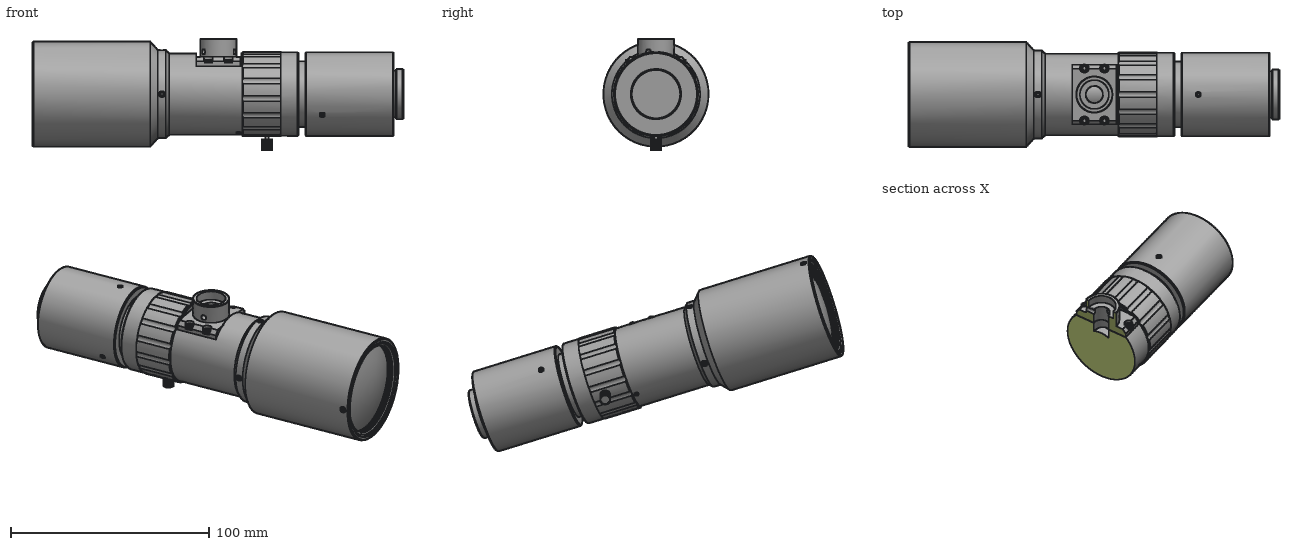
import cadquery as cq
import math


TUBE_LENGTH = 187.0
HOOD_END = 59.3
COLLAR_START = 63.2
COLLAR_BEVEL_START = 67.1
COLLAR_BEVEL_LENGTH = 1.0
COLLAR_END = 69.0
RING_START = 105.6
RING_END = 125.0
REAR_NECK_START = 134.0
REAR_NECK_END = 137.4
REAR_BARREL_END = 182.0
MOUNT_START = 183.0

HOOD_RADIUS = 26.5
COLLAR_RADIUS = 22.2
BARREL_RADIUS = 20.5
RING_RADIUS = 21.3
REAR_RADIUS = 21.1
REAR_NECK_RADIUS = 16.6
MOUNT_RADIUS = 12.7
MOUNT_NECK_RADIUS = 11.8
EDGE_CHAMFER = 0.5

RIM_BORE_RADIUS = 24.7
RIM_BORE_DEPTH = 1.0
LEAD_IN_RADIUS = 23.7
LEAD_IN_DEPTH = 1.5
THREAD_RADIUS = 23.0
THREAD_PITCH = 0.7
THREAD_TURNS = 4
LENS_EDGE_DEPTH = LEAD_IN_DEPTH + THREAD_TURNS * THREAD_PITCH
LENS_RADIUS = 22.5
LENS_BULGE = 3.7

GROOVE_COUNT = 15
GROOVE_WIDTH = 3.0
GROOVE_DEPTH = 0.5

SET_HOLE_DEPTH = 0.7
SET_SOCKET_DEPTH = 1.9
SET_SOCKET_RATIO = 0.5
HOOD_HOLE_RADIUS = 1.5
HOOD_HOLE_X = 3.2
HOOD_HOLE_ANGLE = 180
COLLAR_HOLE_RADIUS = 1.5
COLLAR_HOLE_X = 65.2
COLLAR_HOLE_ANGLES = (0, 90, 180, 270)
REAR_HOLE_RADIUS = 1.3
REAR_HOLE_X = 146.0
REAR_HOLE_ANGLES = (90, 210, 330)
BARREL_HOLE_RADIUS = 1.1
BARREL_HOLE_X = 103.8
BARREL_HOLE_ANGLE = 288

PORT_X = 93.7
FLANGE_LENGTH = 22.0
FLANGE_WIDTH = 30.0
FLANGE_REAR_GAP = 0.4
FLANGE_BOTTOM = math.sqrt(BARREL_RADIUS**2 - (FLANGE_WIDTH / 2) ** 2)
FLANGE_TOP = 18.7
FLANGE_CHAMFER_WIDTH = 1.9
FLANGE_CHAMFER_HEIGHT = 2.2
SOCKET_TOP = 27.9
SOCKET_RADIUS = 9.2
SOCKET_CHAMFER = 0.2
SOCKET_BORE_RADIUS = 7.3
SOCKET_BORE_DEPTH = 4.7
LIGHT_HOLE_RADIUS = 4.3
LIGHT_FLOOR_RADIUS = 9.3
SOCKET_HOLE_RADIUS = 1.3
SOCKET_HOLE_Z = 21.3
SOCKET_HOLE_ANGLES = (95, 215, 335)

SCREW_SPACING_X = 10.1
SCREW_SPACING_Y = 26.5
SCREW_HEAD_RADIUS = 1.9
SCREW_HEAD_BOTTOM = 15.7
SCREW_HEAD_TOP = 17.4
SCREW_SHANK_RADIUS = 1.0
SCREW_SHANK_BOTTOM = 10.3
SCREW_SOCKET_WIDTH = 2.2
SCREW_SOCKET_DEPTH = 1.1
SCREW_KNURL_COUNT = 16
SCREW_KNURL_RADIUS = 0.2
COUNTERBORE_RADIUS = 2.2

THUMB_X = 118.1
THUMB_STEM_RADIUS = 1.0
THUMB_STEM_TOP = -17.8
THUMB_HEAD_RADIUS = 2.6
THUMB_HEAD_TOP = -22.8
THUMB_HEAD_BOTTOM = -28.2
THUMB_KNURL_COUNT = 20
THUMB_KNURL_RADIUS = 0.22


def upright_cylinder(x, y, radius, bottom, top):
    return cq.Workplane("XY", origin=(x, y, bottom)).circle(radius).extrude(top - bottom)


def radial_hole(x, radius, angle, surface_radius):
    """Stepped cutter that sinks into the tube; the angle runs from -Y through +Z."""
    top = surface_radius + SET_HOLE_DEPTH
    shelf = surface_radius - SET_HOLE_DEPTH
    cutter = upright_cylinder(x, 0, radius, shelf, top)
    floor = surface_radius - SET_SOCKET_DEPTH
    cutter = cutter.union(upright_cylinder(x, 0, radius * SET_SOCKET_RATIO, floor, top))
    return cutter.rotate((0, 0, 0), (1, 0, 0), 90 - angle)


def tube_blank():
    """Turned tube with the lens face, threaded front opening and rear mount."""
    sphere_radius = (LENS_RADIUS**2 + LENS_BULGE**2) / (2 * LENS_BULGE)
    half_radius = LENS_RADIUS / 2
    half_sag = sphere_radius - math.sqrt(sphere_radius**2 - half_radius**2)
    lens_apex = LENS_EDGE_DEPTH - LENS_BULGE
    profile = (
        cq.Workplane("XY")
        .moveTo(lens_apex, 0)
        .threePointArc((lens_apex + half_sag, half_radius), (LENS_EDGE_DEPTH, LENS_RADIUS))
    )
    for turn in range(THREAD_TURNS):
        crest = LENS_EDGE_DEPTH - (turn + 1) * THREAD_PITCH
        profile = profile.lineTo(crest + THREAD_PITCH / 2, THREAD_RADIUS)
        profile = profile.lineTo(crest, LENS_RADIUS)
    profile = (
        profile.lineTo(RIM_BORE_DEPTH, LEAD_IN_RADIUS)
        .lineTo(RIM_BORE_DEPTH, RIM_BORE_RADIUS)
        .lineTo(0, RIM_BORE_RADIUS)
        .lineTo(0, HOOD_RADIUS - EDGE_CHAMFER)
        .lineTo(EDGE_CHAMFER, HOOD_RADIUS)
        .lineTo(HOOD_END, HOOD_RADIUS)
        .lineTo(COLLAR_START, COLLAR_RADIUS)
        .lineTo(COLLAR_BEVEL_START, COLLAR_RADIUS)
        .lineTo(COLLAR_BEVEL_START + COLLAR_BEVEL_LENGTH, COLLAR_RADIUS - COLLAR_BEVEL_LENGTH)
        .lineTo(COLLAR_END, BARREL_RADIUS)
        .lineTo(RING_START, BARREL_RADIUS)
        .lineTo(RING_START, RING_RADIUS - EDGE_CHAMFER)
        .lineTo(RING_START + EDGE_CHAMFER, RING_RADIUS)
        .lineTo(RING_END, RING_RADIUS)
        .lineTo(RING_END, REAR_RADIUS)
        .lineTo(REAR_NECK_START - EDGE_CHAMFER, REAR_RADIUS)
        .lineTo(REAR_NECK_START, REAR_RADIUS - EDGE_CHAMFER)
        .lineTo(REAR_NECK_START, REAR_NECK_RADIUS)
        .lineTo(REAR_NECK_END, REAR_NECK_RADIUS)
        .lineTo(REAR_NECK_END, REAR_RADIUS - EDGE_CHAMFER)
        .lineTo(REAR_NECK_END + EDGE_CHAMFER, REAR_RADIUS)
        .lineTo(REAR_BARREL_END - EDGE_CHAMFER, REAR_RADIUS)
        .lineTo(REAR_BARREL_END, REAR_RADIUS - EDGE_CHAMFER)
        .lineTo(REAR_BARREL_END, MOUNT_NECK_RADIUS)
        .lineTo(MOUNT_START, MOUNT_NECK_RADIUS)
        .lineTo(MOUNT_START, MOUNT_RADIUS - EDGE_CHAMFER)
        .lineTo(MOUNT_START + EDGE_CHAMFER, MOUNT_RADIUS)
        .lineTo(TUBE_LENGTH - EDGE_CHAMFER, MOUNT_RADIUS)
        .lineTo(TUBE_LENGTH, MOUNT_RADIUS - EDGE_CHAMFER)
        .lineTo(TUBE_LENGTH, 0)
        .close()
    )
    return profile.revolve(360, (0, 0, 0), (1, 0, 0))


def cut_grip_grooves(tube):
    """Shallow round grooves along the focus ring, the first one at the top."""
    half_width = GROOVE_WIDTH / 2
    cutter_radius = (half_width**2 + GROOVE_DEPTH**2) / (2 * GROOVE_DEPTH)
    cutter = (
        cq.Workplane("YZ", origin=(RING_START, 0, RING_RADIUS - GROOVE_DEPTH + cutter_radius))
        .circle(cutter_radius)
        .extrude(RING_END - RING_START)
    )
    for index in range(GROOVE_COUNT):
        tube = tube.cut(cutter.rotate((0, 0, 0), (1, 0, 0), index * 360 / GROOVE_COUNT))
    return tube


def cut_set_holes(tube):
    tube = tube.cut(radial_hole(HOOD_HOLE_X, HOOD_HOLE_RADIUS, HOOD_HOLE_ANGLE, HOOD_RADIUS))
    for angle in COLLAR_HOLE_ANGLES:
        tube = tube.cut(radial_hole(COLLAR_HOLE_X, COLLAR_HOLE_RADIUS, angle, COLLAR_RADIUS))
    for angle in REAR_HOLE_ANGLES:
        tube = tube.cut(radial_hole(REAR_HOLE_X, REAR_HOLE_RADIUS, angle, REAR_RADIUS))
    return tube.cut(radial_hole(BARREL_HOLE_X, BARREL_HOLE_RADIUS, BARREL_HOLE_ANGLE, BARREL_RADIUS))


def screw_places():
    places = []
    for side_x in (-1, 1):
        for side_y in (-1, 1):
            places.append((PORT_X + side_x * SCREW_SPACING_X / 2, side_y * SCREW_SPACING_Y / 2))
    return places


def make_lens_tube():
    tube = cut_set_holes(cut_grip_grooves(tube_blank()))
    flange_seat = cq.Workplane("XY", origin=(PORT_X - FLANGE_LENGTH / 2, 0, FLANGE_BOTTOM)).box(
        FLANGE_LENGTH + FLANGE_REAR_GAP,
        2 * BARREL_RADIUS,
        BARREL_RADIUS,
        centered=(False, True, False),
    )
    tube = tube.cut(flange_seat)
    light_hole = upright_cylinder(PORT_X, 0, LIGHT_HOLE_RADIUS, 0, FLANGE_BOTTOM)
    floor = cq.Workplane("YZ").circle(LIGHT_FLOOR_RADIUS).extrude(TUBE_LENGTH)
    tube = tube.cut(light_hole.cut(floor))
    for x, y in screw_places():
        tube = tube.cut(upright_cylinder(x, y, SCREW_SHANK_RADIUS, SCREW_SHANK_BOTTOM, FLANGE_BOTTOM))
    return tube.cut(upright_cylinder(THUMB_X, 0, THUMB_STEM_RADIUS, -RING_RADIUS, THUMB_STEM_TOP))


def make_light_port():
    """Bevelled flange with a stepped socket on top, bored through."""
    half_width = FLANGE_WIDTH / 2
    bevel_bottom = FLANGE_TOP - FLANGE_CHAMFER_HEIGHT
    port = (
        cq.Workplane("YZ", origin=(PORT_X - FLANGE_LENGTH / 2, 0, 0))
        .moveTo(-half_width, FLANGE_BOTTOM)
        .lineTo(half_width, FLANGE_BOTTOM)
        .lineTo(half_width, bevel_bottom)
        .lineTo(half_width - FLANGE_CHAMFER_WIDTH, FLANGE_TOP)
        .lineTo(FLANGE_CHAMFER_WIDTH - half_width, FLANGE_TOP)
        .lineTo(-half_width, bevel_bottom)
        .close()
        .extrude(FLANGE_LENGTH)
    )
    socket = upright_cylinder(PORT_X, 0, SOCKET_RADIUS, FLANGE_BOTTOM, SOCKET_TOP)
    port = port.union(socket.faces(">Z").chamfer(SOCKET_CHAMFER))
    bore_floor = SOCKET_TOP - SOCKET_BORE_DEPTH
    port = port.cut(upright_cylinder(PORT_X, 0, SOCKET_BORE_RADIUS, bore_floor, SOCKET_TOP))
    port = port.cut(upright_cylinder(PORT_X, 0, LIGHT_HOLE_RADIUS, FLANGE_BOTTOM, SOCKET_TOP))
    for x, y in screw_places():
        port = port.cut(upright_cylinder(x, y, COUNTERBORE_RADIUS, SCREW_HEAD_BOTTOM, FLANGE_TOP))
        port = port.cut(upright_cylinder(x, y, SCREW_SHANK_RADIUS, FLANGE_BOTTOM, SCREW_HEAD_BOTTOM))
    for angle in SOCKET_HOLE_ANGLES:
        hole = (
            cq.Workplane("YZ", origin=(PORT_X, 0, SOCKET_HOLE_Z))
            .circle(SOCKET_HOLE_RADIUS)
            .extrude(SOCKET_RADIUS)
            .rotate((PORT_X, 0, 0), (PORT_X, 0, 1), angle)
        )
        port = port.cut(hole)
    return port


def knurled_head(x, y, radius, bottom, top, knurl_count, knurl_radius):
    """Screw head with small round grooves along its side."""
    knurls = (
        cq.Workplane("XY", origin=(x, y, bottom))
        .polarArray(radius, 0, 360, knurl_count)
        .circle(knurl_radius)
        .extrude(top - bottom)
    )
    return upright_cylinder(x, y, radius, bottom, top).cut(knurls)


def make_flange_screw(x, y):
    head = knurled_head(
        x, y, SCREW_HEAD_RADIUS, SCREW_HEAD_BOTTOM, SCREW_HEAD_TOP, SCREW_KNURL_COUNT, SCREW_KNURL_RADIUS
    )
    shank = upright_cylinder(x, y, SCREW_SHANK_RADIUS, SCREW_SHANK_BOTTOM, SCREW_HEAD_BOTTOM)
    hex_socket = (
        cq.Workplane("XY", origin=(x, y, SCREW_HEAD_TOP))
        .polygon(6, SCREW_SOCKET_WIDTH)
        .extrude(-SCREW_SOCKET_DEPTH)
    )
    return head.union(shank).cut(hex_socket)


def make_thumb_screw():
    head = knurled_head(
        THUMB_X,
        0,
        THUMB_HEAD_RADIUS,
        THUMB_HEAD_BOTTOM,
        THUMB_HEAD_TOP,
        THUMB_KNURL_COUNT,
        THUMB_KNURL_RADIUS,
    )
    stem = upright_cylinder(THUMB_X, 0, THUMB_STEM_RADIUS, THUMB_HEAD_TOP, THUMB_STEM_TOP)
    return head.union(stem)


lens_tube = make_lens_tube()
light_port = make_light_port()
flange_screws = [make_flange_screw(x, y) for x, y in screw_places()]
thumb_screw = make_thumb_screw()

result = cq.Compound.makeCompound(
    [
        lens_tube.val(),
        light_port.val(),
        *[screw.val() for screw in flange_screws],
        thumb_screw.val(),
    ]
)